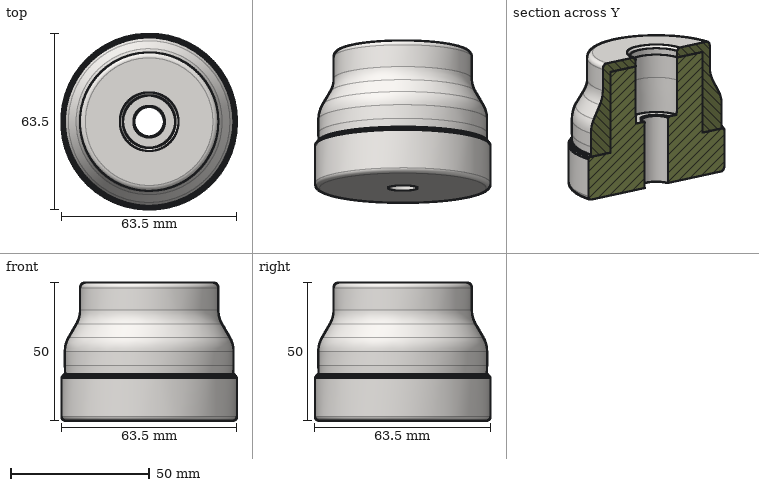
import cadquery as cq
import math

total_height = 50.0

flange_radius = 31.75
flange_bottom_fillet = 1.65
bevel_start_height = 15.55
bevel_top_height = 16.95
bevel_top_radius = 30.6
joint_height = 16.25
bevel_slope = (flange_radius - bevel_top_radius) / (bevel_top_height - bevel_start_height)
joint_radius = flange_radius - (joint_height - bevel_start_height) * bevel_slope

skirt_radius = 30.55
skirt_lip_radius = 30.4
skirt_lip_top = 20.0
shoulder_bottom = 25.0
shoulder_top = 40.0
neck_radius = 25.0
neck_top_fillet = 2.0
cover_thickness = 3.5
core_radius = neck_radius - cover_thickness
core_height = total_height - cover_thickness

bore_radius = 9.5
bore_chamfer = 1.1
bore_taper_top = 38.0
bore_floor_radius = 9.4
bore_floor_height = 25.0
hole_radius = 5.35
hole_chamfer = 0.4

shoulder_angle = math.radians(30)
shoulder_drop = skirt_radius - neck_radius
shoulder_rise = shoulder_top - shoulder_bottom
arc_radius = (shoulder_rise * math.tan(shoulder_angle) - shoulder_drop) / (
    2 * (math.tan(shoulder_angle) * math.sin(shoulder_angle) - 1 + math.cos(shoulder_angle))
)


def arc_offset(angle):
    """Inward and upward travel along a shoulder arc that starts vertical."""
    return arc_radius * (1 - math.cos(angle)), arc_radius * math.sin(angle)


def make_base():
    """Bevelled flange, core post, slightly tapered counterbore and through hole."""
    base = (
        cq.Workplane("XZ")
        .polyline([
            (hole_radius, 0),
            (flange_radius, 0),
            (flange_radius, bevel_start_height),
            (joint_radius, joint_height),
            (core_radius, joint_height),
            (core_radius, core_height),
            (bore_radius, core_height),
            (bore_radius, bore_taper_top),
            (bore_floor_radius, bore_floor_height),
            (hole_radius + hole_chamfer, bore_floor_height),
            (hole_radius, bore_floor_height - hole_chamfer),
        ])
        .close()
        .revolve(360, (0, 0, 0), (0, 1, 0))
    )
    flange_rim = cq.selectors.RadiusNthSelector(-1)
    return base.faces("<Z").edges(flange_rim).fillet(flange_bottom_fillet)


def make_cover():
    """Turned shell, with a thin bevelled foot, that sits on the flange and wraps the core post."""
    half_in, half_up = arc_offset(shoulder_angle / 2)
    full_in, full_up = arc_offset(shoulder_angle)
    cover = (
        cq.Workplane("XZ")
        .moveTo(core_radius, joint_height)
        .lineTo(joint_radius, joint_height)
        .lineTo(bevel_top_radius, bevel_top_height)
        .lineTo(skirt_lip_radius, bevel_top_height)
        .lineTo(skirt_radius, skirt_lip_top)
        .lineTo(skirt_radius, shoulder_bottom)
        .threePointArc(
            (skirt_radius - half_in, shoulder_bottom + half_up),
            (skirt_radius - full_in, shoulder_bottom + full_up),
        )
        .lineTo(neck_radius + full_in, shoulder_top - full_up)
        .threePointArc(
            (neck_radius + half_in, shoulder_top - half_up),
            (neck_radius, shoulder_top),
        )
        .lineTo(neck_radius, total_height)
        .lineTo(bore_radius + bore_chamfer, total_height)
        .lineTo(bore_radius, total_height - bore_chamfer)
        .lineTo(bore_radius, core_height)
        .lineTo(core_radius, core_height)
        .close()
        .revolve(360, (0, 0, 0), (0, 1, 0))
    )
    neck_rim = cq.selectors.RadiusNthSelector(-1)
    return cover.faces(">Z").edges(neck_rim).fillet(neck_top_fillet)


base = make_base()
cover = make_cover()
result = cq.Compound.makeCompound([base.solids().val(), cover.solids().val()])